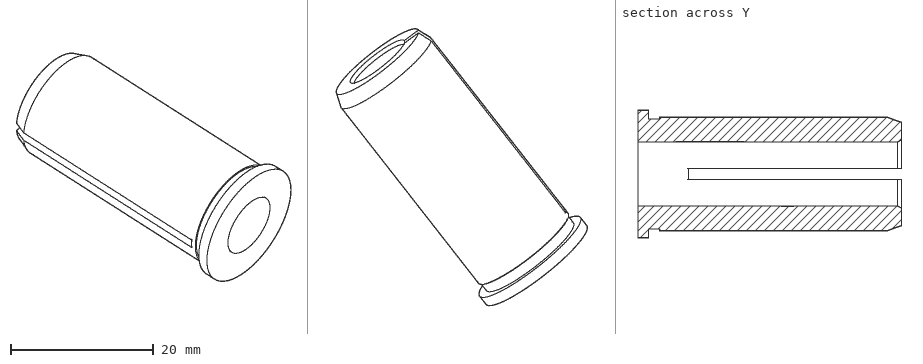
import cadquery as cq
import math

length = 37.0
flange_diameter = 18.0
flange_thickness = 1.5
body_diameter = 16.0
neck_diameter = 15.5
neck_width = 1.5

nose_length = 2.0
nose_angle = 20.0

bore_diameter = 9.0
countersink_diameter = 9.6
countersink_depth = 0.55

slot_width = 1.5
slot_outer_end = 33.3
slot_inner_end = 29.9

body_radius = body_diameter / 2
neck_radius = neck_diameter / 2
flange_radius = flange_diameter / 2
bore_radius = bore_diameter / 2
countersink_radius = countersink_diameter / 2
nose_radius = body_radius - nose_length * math.tan(math.radians(nose_angle))
flange_start = length - flange_thickness
neck_start = flange_start - neck_width


def make_sleeve():
    """Revolve the wall section, from bore to outside, about the X axis."""
    section = (
        cq.Workplane("XY")
        .moveTo(0, countersink_radius)
        .lineTo(0, nose_radius)
        .lineTo(nose_length, body_radius)
        .lineTo(neck_start, body_radius)
        .lineTo(neck_start, neck_radius)
        .lineTo(flange_start, neck_radius)
        .lineTo(flange_start, flange_radius)
        .lineTo(length, flange_radius)
        .lineTo(length, bore_radius)
        .lineTo(countersink_depth, bore_radius)
        .close()
    )
    return section.revolve(360, (0, 0, 0), (1, 0, 0))


def make_slot_cutter():
    """Slot-wide bar from the nose, with the end cone kept out of it."""
    bar = cq.Workplane("XY").box(
        slot_outer_end, body_radius, slot_width, centered=(False, False, True)
    ).translate((0, -body_radius, 0))
    end_cone = (
        cq.Workplane("XY")
        .moveTo(slot_inner_end, 0)
        .lineTo(slot_inner_end, bore_radius)
        .lineTo(slot_outer_end, body_radius)
        .lineTo(slot_outer_end, 0)
        .close()
        .revolve(360, (0, 0, 0), (1, 0, 0))
    )
    return bar.cut(end_cone)


result = make_sleeve().cut(make_slot_cutter())